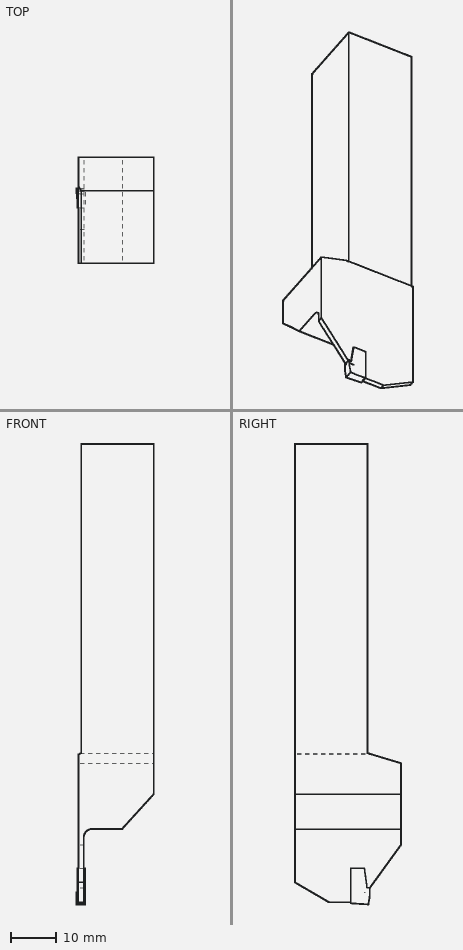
import cadquery as cq
import math

total_length = 101.4
shank_side = 16.0

head_depth = 23.4
head_left = -0.6
shoulder_z = 33.0
step_rise = 0.3
shoulder_drop = 1.9
side_bottom_z = 13.2
blade_bottom_z = 0.5
heel_y = 7.5
heel_z = 4.9

blade_right = -head_left
blade_root_z = 16.6
blade_root_radius = 1.8
relief_x = 9.0
relief_z = 24.3

insert_half_width = 0.9
flare_half_width = 1.1
insert_back_y = 12.3
insert_back_z = 0.25
insert_top_z = 8.0
insert_top_y = 15.3
seat_y = 15.9
nose_y = 16.5
nose_top_z = 3.6
land_z = 1.9
tip_y = 16.2

crease_top_y = 15.3
crease_top_z = 2.7
crease_bottom_y = 14.3


def bottom_z(y):
    """Height of the insert's sloping underside, which is zero at the tip."""
    return insert_back_z * (tip_y - y) / (tip_y - insert_back_y)


def extrude_along_x(points, x_start, x_end):
    """Prism of a (Y, Z) outline between two X positions."""
    profile = cq.Workplane("YZ").workplane(offset=x_start).polyline(points).close()
    return profile.extrude(x_end - x_start)


def make_insert_body():
    outline = [
        (insert_back_y, insert_back_z),
        (insert_back_y, insert_top_z),
        (insert_top_y, insert_top_z),
        (seat_y, nose_top_z),
        (nose_y, nose_top_z),
        (nose_y, land_z),
        (tip_y, 0),
    ]
    return extrude_along_x(outline, -insert_half_width, insert_half_width)


def make_flare():
    """Nose piece whose -X side widens linearly from the crease to the tip."""
    crease_bottom_z = bottom_z(crease_bottom_y)
    nose_outline = [
        (crease_top_y, crease_top_z),
        (nose_y, crease_top_z),
        (nose_y, land_z),
        (tip_y, 0),
        (crease_bottom_y, crease_bottom_z),
    ]
    limit = 2 * flare_half_width
    nose = extrude_along_x(nose_outline, -limit, limit)

    along_y = crease_top_y - crease_bottom_y
    along_z = crease_top_z - crease_bottom_z
    crease_length = math.hypot(along_y, along_z)
    tip_distance = ((tip_y - crease_bottom_y) * along_z + crease_bottom_z * along_y) / crease_length
    reach = 2 * tip_distance
    reach_half_width = insert_half_width + (flare_half_width - insert_half_width) * reach / tip_distance

    crease_plane = cq.Plane(
        origin=(0, crease_bottom_y, crease_bottom_z),
        xDir=(0, along_z, -along_y),
        normal=(0, along_y, along_z),
    )
    wedge_section = [
        (0, insert_half_width),
        (reach, reach_half_width),
        (reach, -insert_half_width),
        (0, -insert_half_width),
    ]
    wedge = cq.Workplane(crease_plane).polyline(wedge_section).close().extrude(2 * crease_length, both=True)
    return nose.intersect(wedge)


def make_insert():
    return make_insert_body().union(make_flare())


def make_holder():
    front_profile = (
        cq.Workplane("XZ")
        .moveTo(0, total_length)
        .lineTo(shank_side, total_length)
        .lineTo(shank_side, relief_z)
        .lineTo(relief_x, blade_root_z)
        .lineTo(blade_right + blade_root_radius, blade_root_z)
        .radiusArc((blade_right, blade_root_z - blade_root_radius), -blade_root_radius)
        .lineTo(blade_right, blade_bottom_z)
        .lineTo(head_left, blade_bottom_z)
        .lineTo(head_left, shoulder_z)
        .lineTo(0, shoulder_z + step_rise)
        .close()
        .extrude(-head_depth)
    )
    side_outline = [
        (0, total_length),
        (shank_side, total_length),
        (shank_side, shoulder_z + step_rise),
        (head_depth, shoulder_z - shoulder_drop),
        (head_depth, side_bottom_z),
        (nose_y, nose_top_z),
        (seat_y, nose_top_z),
        (insert_back_y, blade_bottom_z),
        (heel_y, blade_bottom_z),
        (0, heel_z),
    ]
    side_profile = extrude_along_x(side_outline, head_left, shank_side)
    return front_profile.intersect(side_profile)


insert = make_insert()
holder = make_holder().cut(insert)

result = cq.Compound.makeCompound([*holder.solids().vals(), *insert.solids().vals()])